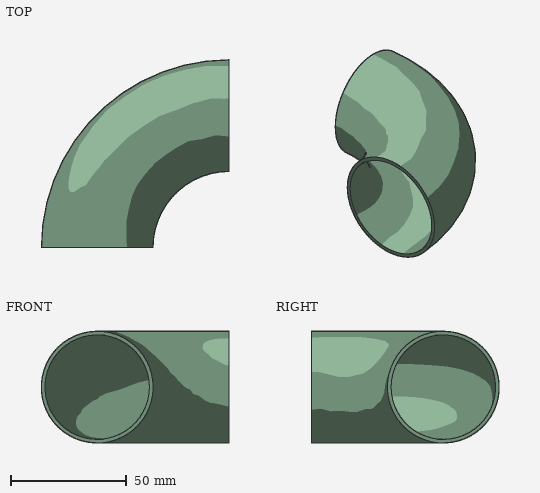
import cadquery as cq

outer_diameter = 48.3
wall_thickness = 1.6
bend_radius = 57.0
bend_angle = 90.0

inner_diameter = outer_diameter - 2 * wall_thickness


def tube_section():
    """Ring-shaped section on the XZ plane, at the open end facing -Y."""
    return (
        cq.Workplane("XZ")
        .center(-bend_radius, 0)
        .circle(outer_diameter / 2)
        .circle(inner_diameter / 2)
    )


def elbow():
    """Sweep the section about Z, from the -Y facing end to the +X facing end."""
    axis_start = (bend_radius, 0)
    axis_end = (bend_radius, -1)
    return tube_section().revolve(bend_angle, axis_start, axis_end)


result = elbow()